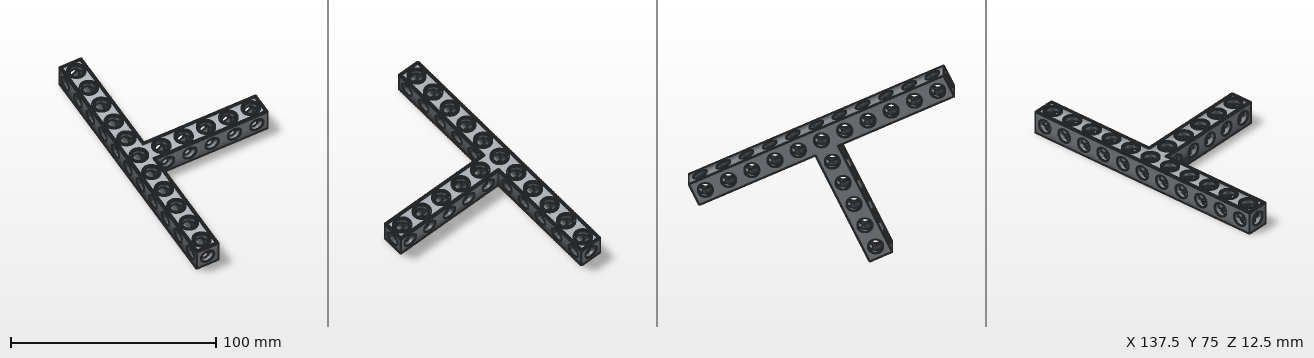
import cadquery as cq

bar_length = 137.5
bar_cells = 11
stem_cells = 5
cell = bar_length / bar_cells
half_cell = cell / 2
half_bar = bar_length / 2
stem_end = half_cell + stem_cells * cell

hole_diameter = 7.0
edge_chamfer = 0.3

collar_diameter = 9.2
rim_width = (collar_diameter - hole_diameter) / 2
panel_depth = 0.2

bar_steps = [cell * (i - bar_cells // 2) for i in range(bar_cells)]
stem_steps = [cell * (i + 1) for i in range(stem_cells)]
top_points = [(x, 0) for x in bar_steps] + [(0, y) for y in stem_steps]


def make_tee(inset, height):
    """Prism with the T outline shrunk by inset, standing on the XY plane."""
    width = cell - 2 * inset
    stem_length = stem_end - inset
    on_floor = (True, True, False)
    bar = cq.Workplane("XY").box(bar_length - 2 * inset, width, height, centered=on_floor)
    stem = cq.Workplane("XY").center(0, stem_length / 2).box(width, stem_length, height, centered=on_floor)
    return bar.union(stem).clean()


def make_body():
    """T beam centred on the junction cell, with chamfered outer edges."""
    body = make_tee(0, cell).translate((0, 0, -half_cell))
    return body.faces("<Z or >Z or <X or >X or >Y or <Y").chamfer(edge_chamfer)


def make_panel():
    """Sunken top panel, interrupted by a collar at every vertical hole."""
    collars = cq.Workplane("XY").pushPoints(top_points).circle(collar_diameter / 2).extrude(panel_depth)
    panel = make_tee(rim_width, panel_depth).cut(collars)
    return panel.translate((0, 0, half_cell - panel_depth))


def make_hole_cutters(plane, places, start, end):
    """Pins from start to end along the plane normal, flared at both ends to chamfer the hole mouths."""
    radius = hole_diameter / 2
    mouth_radius = radius + edge_chamfer
    profile = [
        (0, start),
        (mouth_radius, start),
        (radius, start + edge_chamfer),
        (radius, end - edge_chamfer),
        (mouth_radius, end),
        (0, end),
    ]
    pin = cq.Workplane("XZ").polyline(profile).close().revolve(360, (0, 0), (0, 1)).val()
    frame = cq.Plane.named(plane)
    return [pin.translate(cq.Vector(u, v, 0)).moved(frame.location) for u, v in places]


vertical_holes = make_hole_cutters("XY", top_points, -half_cell, half_cell)
bar_cross_holes = make_hole_cutters("XZ", [(x, 0) for x in bar_steps if x != 0], -half_cell, half_cell)
stem_long_hole = make_hole_cutters("XZ", [(0, 0)], -stem_end, half_cell)
bar_long_hole = make_hole_cutters("YZ", [(0, 0)], -half_bar, half_bar)
stem_cross_holes = make_hole_cutters("YZ", [(y, 0) for y in stem_steps], -half_cell, half_cell)

result = make_body().cut(make_panel())
for cutter in vertical_holes + bar_cross_holes + stem_long_hole + bar_long_hole + stem_cross_holes:
    result = result.cut(cq.Workplane(cutter))